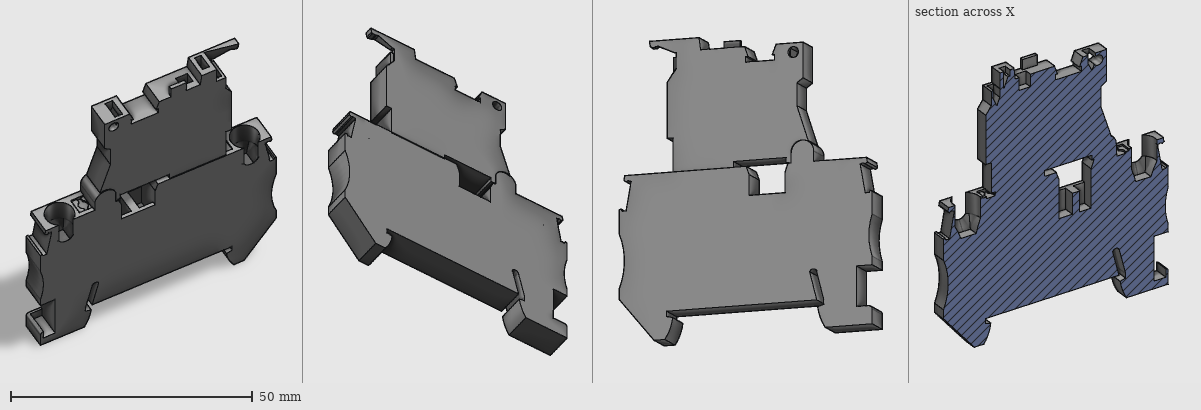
import cadquery as cq


BASE_THICKNESS = 6.15
BASE_LENGTH = 55.9
TOTAL_HEIGHT = 63.38
BASE_TOP = 35.33
PLUG_THICKNESS = 5.75
PLUG_TOP = 60.76

SHOULDER_Z = 27.84
RAIL_FACE_Z = 5.95
RAIL_LIP_Z = 4.86
RAIL_LIP_TIP_Z = 4.5
FRONT_LIP_TIP_Y = 12.06
REAR_LIP_TIP_Y = 44.06
RAIL_FRONT_Y = 10.7
RAIL_REAR_Y = 45.38
FLEX_SLOT_FRONT = (12.3, 12.1)
FLEX_SLOT_REAR = (13.8, 12.0)
FLEX_SLOT_TOP = (13.2, 12.55)
FLEX_SLOT_MOUTH_Y = 12.24
FRONT_CLAW_Y = 10.4
REAR_CLAW_Y = (45.8, 48.2)
REAR_CLAW_TOP_Z = 9.2
CLAW_BULGE_Z = 2.1
FRONT_HOLLOW_Z = (14.33, 23.26)
FRONT_HOLLOW_DEPTH = 0.72
REAR_HOLLOW_Z = (11.4, 23.1)
REAR_HOLLOW_DEPTH = 1.15
HOOK_TOP_Z = 3.95
HOOK_RADIUS = 0.8
FOOT_RECESS_Y = 3.5
FOOT_RECESS_TOP = 12.5
HOOK_POCKET_X = (-2.5, BASE_THICKNESS / 2)
HOOK_POCKET_Y = (0.72, FOOT_RECESS_Y)
HOOK_POCKET_DEPTH = 2.0
NOTCH_FRONT_Y = 19.25
NOTCH_REAR_Y = 27.18
NOTCH_FLOOR_Z = 29.16
NOTCH_BEVEL_Z = 33.54
NOTCH_BEVEL = 0.65
DOME_FRONT_Y = 12.9
DOME_RADIUS = 2.52
DOME_CENTER_Z = 37.5

NOTCH_POCKET_X = (-2.67, 2.2)
NOTCH_WEB_Y = (22.0, 23.9)
NOTCH_POCKET_DEPTH = 5.0

FUNNEL_X = 0.36
FUNNEL_Y = 6.03
FUNNEL_RADIUS = 3.17
FUNNEL_FLOOR_SIDE = 3.72
FUNNEL_FLOOR_Y = 6.25
FUNNEL_MOUTH_DEPTH = 5.0
FUNNEL_TAPER_DEPTH = 3.3
SCREW_RECESS_X = (-1.7, 2.1)
SCREW_RECESS_Y = (9.85, DOME_FRONT_Y)
SCREW_X = 0.22
SCREW_Y = 11.73
SCREW_RADIUS = 1.1
SCREW_SLOT_WIDTH = 0.88
SCREW_STEP = 0.4

REAR_SHOULDER_Y = 44.06
REAR_SHOULDER_Z = 59.66
LEVER_ROOT_Y = 43.37
BLOCK_REAR_Y = 41.86
BLOCK_FRONT_Y = 38.33
BLOCK_FOOT_Y = 37.96
LEVER_TIP_Y = 49.3
LEVER_TIP_WIDTH = 1.8
LEVER_ROOT_WIDTH = 0.4
PLUG_FRONT_Y = 15.34
PLUG_WAIST_Y = 16.7
PLUG_REAR_Y = 45.38
PLUG_REAR_FOOT_Z = 42.56
REAR_BEVEL_Z = (54.37, 57.2)
SHOULDER_BEVEL_Z = 56.25
PLUG_WAIST_Z = (47.4, 52.2)
PLUG_NOSE_Z = 53.2
NECK_FOOT = (14.2, 39.86)
LABEL_FLOOR_Z = 57.44
LABEL_LIP_Z = 58.6
LABEL_SEAT_Y = (21.65, 28.03)
LABEL_LIP_Y = (22.15, 27.5)
LABEL_MOUTH_Y = (21.3, 28.25)
PLUG_GAP_Y = (19.05, 30.7)
PLUG_GAP_TOP = 36.6
FRONT_FOOT_Y = 18.5
FRONT_FOOT_Z = 35.5

TEST_SLOT_X = (-2.1, 2.1)
TEST_SLOT_WALL = 2.0
TEST_SLOT_DEPTH = 3.8
FRONT_SLOT_Y = (18.2, 19.0, 19.95)
REAR_SLOT_Y = (41.95, 42.6, 43.45)
BLOCK_SLOT_X = (-2.1, 1.45)
BLOCK_SLOT_Y = (39.4, 39.9, 40.9)
BLOCK_SLOT_DEPTH = 4.0
BLOCK_SLOT_LEDGE_DEPTH = 1.5
POCKET_X = (-1.1, 1.3)
POCKET_Y = (34.35, 37.1)
POCKET_DEPTH = 3.0
TAB_X = (2.05, PLUG_THICKNESS / 2)
TAB_Y = (31.06, 34.67)
TAB_TOP = 63.2
PEG_HOLE_Y = 17.5
PEG_HOLE_Z = 58.8
PEG_HOLE_RADIUS = 1.15


def box(x_range, y_range, z_range):
    """Box spanning the given X, Y and Z limits."""
    spans = (x_range, y_range, z_range)
    sizes = [high - low for low, high in spans]
    return cq.Workplane("XY").box(*sizes, centered=False).translate(tuple(low for low, high in spans))


def extrude_profile(outline, x_range):
    """Extrude a closed Y-Z outline between two X positions."""
    return outline.close().extrude(x_range[1] - x_range[0]).translate((x_range[0], 0, 0))


def centered_x(thickness):
    return (-thickness / 2, thickness / 2)


def mirror_y(solid):
    """Copy a front feature of the base to its rear end."""
    return solid.mirror("XZ", (0, BASE_LENGTH / 2, 0))


def from_rear(points):
    """The same points at the rear end of the base, in reverse order."""
    return [(BASE_LENGTH - y, z) for y, z in reversed(points)]


def base_body():
    end_notch = [
        (0, 28.15), (0.45, 28.3), (0.65, SHOULDER_Z), (1.53, SHOULDER_Z), (2.65, 34.0),
        (2.0, 34.2), (1.53, 33.95), (1.05, 34.3), (1.25, BASE_TOP),
    ]
    dome_rear_y = DOME_FRONT_Y + 2 * DOME_RADIUS
    dome_top = (DOME_FRONT_Y + DOME_RADIUS, DOME_CENTER_Z + DOME_RADIUS)
    outline = (
        cq.Workplane("YZ")
        .moveTo(0, 0)
        .lineTo(0, HOOK_TOP_Z - HOOK_RADIUS)
        .radiusArc((HOOK_RADIUS, HOOK_TOP_Z), HOOK_RADIUS)
        .lineTo(FOOT_RECESS_Y, HOOK_TOP_Z)
        .lineTo(FOOT_RECESS_Y, FOOT_RECESS_TOP)
        .lineTo(0, FOOT_RECESS_TOP)
        .lineTo(0, FRONT_HOLLOW_Z[0])
        .threePointArc((FRONT_HOLLOW_DEPTH, sum(FRONT_HOLLOW_Z) / 2), (0, FRONT_HOLLOW_Z[1]))
        .polyline(end_notch, includeCurrent=True)
        .lineTo(DOME_FRONT_Y, BASE_TOP)
        .lineTo(DOME_FRONT_Y, DOME_CENTER_Z)
        .threePointArc(dome_top, (dome_rear_y, DOME_CENTER_Z))
        .lineTo(dome_rear_y, BASE_TOP)
        .lineTo(NOTCH_FRONT_Y - NOTCH_BEVEL, BASE_TOP)
        .lineTo(NOTCH_FRONT_Y, NOTCH_BEVEL_Z)
        .lineTo(NOTCH_FRONT_Y, NOTCH_FLOOR_Z)
        .lineTo(NOTCH_REAR_Y, NOTCH_FLOOR_Z)
        .lineTo(NOTCH_REAR_Y, NOTCH_BEVEL_Z)
        .lineTo(NOTCH_REAR_Y + NOTCH_BEVEL, BASE_TOP)
        .polyline(from_rear(end_notch), includeCurrent=True)
        .lineTo(BASE_LENGTH, REAR_HOLLOW_Z[1])
        .threePointArc(
            (BASE_LENGTH - REAR_HOLLOW_DEPTH, sum(REAR_HOLLOW_Z) / 2),
            (BASE_LENGTH, REAR_HOLLOW_Z[0]),
        )
        .lineTo(BASE_LENGTH, REAR_CLAW_TOP_Z)
        .lineTo(REAR_CLAW_Y[1], 0)
        .lineTo(REAR_CLAW_Y[0], 0)
        .threePointArc((44.65, CLAW_BULGE_Z), (REAR_LIP_TIP_Y, RAIL_LIP_TIP_Z))
        .lineTo(RAIL_REAR_Y, RAIL_LIP_Z)
        .lineTo(RAIL_REAR_Y, RAIL_FACE_Z)
        .lineTo(FLEX_SLOT_MOUTH_Y, RAIL_FACE_Z)
        .lineTo(*FLEX_SLOT_REAR)
        .threePointArc(FLEX_SLOT_TOP, FLEX_SLOT_FRONT)
        .lineTo(RAIL_FRONT_Y, RAIL_FACE_Z)
        .lineTo(RAIL_FRONT_Y, RAIL_LIP_Z)
        .lineTo(FRONT_LIP_TIP_Y, RAIL_LIP_TIP_Z)
        .threePointArc((11.45, CLAW_BULGE_Z), (FRONT_CLAW_Y, 0))
    )
    return extrude_profile(outline, centered_x(BASE_THICKNESS))


def hook_pocket():
    """Pocket behind the front hook, open at the +X side."""
    return box(HOOK_POCKET_X, HOOK_POCKET_Y, (HOOK_TOP_Z - HOOK_POCKET_DEPTH, HOOK_TOP_Z))


def notch_pockets():
    """Two pockets in the notch floor with a web left between them."""
    depth_range = (NOTCH_FLOOR_Z - NOTCH_POCKET_DEPTH, NOTCH_FLOOR_Z)
    rear = box(NOTCH_POCKET_X, (NOTCH_WEB_Y[1], NOTCH_REAR_Y), depth_range)
    front = box(NOTCH_POCKET_X, (NOTCH_FRONT_Y, NOTCH_WEB_Y[0]), depth_range)
    return rear.union(front)


def wire_funnel():
    """Straight round mouth, breaking out of the +X face, that tapers to a square floor."""
    taper_top = BASE_TOP - FUNNEL_MOUTH_DEPTH
    taper = (
        cq.Workplane("XY", origin=(FUNNEL_X, FUNNEL_Y, taper_top))
        .circle(FUNNEL_RADIUS)
        .workplane(offset=-FUNNEL_TAPER_DEPTH)
        .center(-FUNNEL_X, FUNNEL_FLOOR_Y - FUNNEL_Y)
        .rect(FUNNEL_FLOOR_SIDE, FUNNEL_FLOOR_SIDE)
        .loft(ruled=True)
    )
    mouth = (
        cq.Workplane("XY", origin=(FUNNEL_X, FUNNEL_Y, taper_top))
        .circle(FUNNEL_RADIUS)
        .extrude(FUNNEL_MOUTH_DEPTH)
    )
    return mouth.union(taper)


def screw_recess():
    """Shallow recess with a deeper round screw head and a slot across it."""
    recess_floor = BASE_TOP - SCREW_STEP
    recess = box(SCREW_RECESS_X, SCREW_RECESS_Y, (recess_floor, BASE_TOP))
    deep_range = (recess_floor - SCREW_STEP, recess_floor)
    slot_y = (SCREW_Y - SCREW_SLOT_WIDTH / 2, SCREW_Y + SCREW_SLOT_WIDTH / 2)
    slot = box(SCREW_RECESS_X, slot_y, deep_range)
    head = (
        cq.Workplane("XY", origin=(SCREW_X, SCREW_Y, deep_range[0]))
        .circle(SCREW_RADIUS)
        .extrude(SCREW_STEP)
    )
    return recess.union(slot).union(head)


def base():
    body = base_body().cut(hook_pocket()).cut(notch_pockets())
    for cutter in (wire_funnel(), screw_recess()):
        body = body.cut(cutter).cut(mirror_y(cutter))
    return body


def plug_body():
    dome_center_y = DOME_FRONT_Y + DOME_RADIUS
    outline = cq.Workplane("YZ").polyline([
        (REAR_SHOULDER_Y, BASE_TOP), (REAR_SHOULDER_Y, PLUG_REAR_FOOT_Z),
        (PLUG_REAR_Y, PLUG_REAR_FOOT_Z), (PLUG_REAR_Y, REAR_BEVEL_Z[0]),
        (REAR_SHOULDER_Y, SHOULDER_BEVEL_Z), (REAR_SHOULDER_Y, REAR_SHOULDER_Z),
        (BLOCK_REAR_Y, REAR_SHOULDER_Z),
        (BLOCK_REAR_Y, TOTAL_HEIGHT), (BLOCK_FRONT_Y, TOTAL_HEIGHT), (BLOCK_FOOT_Y, PLUG_TOP),
        (LABEL_MOUTH_Y[1], PLUG_TOP), (LABEL_LIP_Y[1], LABEL_LIP_Z),
        (LABEL_SEAT_Y[1], LABEL_LIP_Z), (LABEL_SEAT_Y[1], LABEL_FLOOR_Z),
        (LABEL_SEAT_Y[0], LABEL_FLOOR_Z), (LABEL_SEAT_Y[0], LABEL_LIP_Z),
        (LABEL_LIP_Y[0], LABEL_LIP_Z), (LABEL_MOUTH_Y[0], PLUG_TOP),
        (PLUG_FRONT_Y, PLUG_TOP), (PLUG_FRONT_Y, PLUG_NOSE_Z),
        (PLUG_WAIST_Y, PLUG_WAIST_Z[1]), (PLUG_WAIST_Y, PLUG_WAIST_Z[0]),
        NECK_FOOT, (dome_center_y, DOME_CENTER_Z), (dome_center_y, BASE_TOP),
        (FRONT_FOOT_Y, BASE_TOP), (FRONT_FOOT_Y, FRONT_FOOT_Z), (PLUG_GAP_Y[0], FRONT_FOOT_Z),
        (PLUG_GAP_Y[0], PLUG_GAP_TOP), (PLUG_GAP_Y[1], PLUG_GAP_TOP), (PLUG_GAP_Y[1], BASE_TOP),
    ])
    return extrude_profile(outline, centered_x(PLUG_THICKNESS))


def lever_side_clearance():
    """Sets the rear face back below the lever, on the lever side only."""
    side_x = -PLUG_THICKNESS / 2
    outline = cq.Workplane("YZ").polyline([
        (LEVER_ROOT_Y, TOTAL_HEIGHT), (LEVER_ROOT_Y, REAR_BEVEL_Z[1]),
        (REAR_SHOULDER_Y, SHOULDER_BEVEL_Z), (PLUG_REAR_Y, TOTAL_HEIGHT),
    ])
    return extrude_profile(outline, (side_x, side_x + LEVER_ROOT_WIDTH))


def lever():
    """Release lever along the -X side, narrowing from its tip to the raised block."""
    side_x = -PLUG_THICKNESS / 2
    profile = cq.Workplane("YZ").polyline([
        (BLOCK_REAR_Y, REAR_SHOULDER_Z), (BLOCK_REAR_Y, TOTAL_HEIGHT), (LEVER_TIP_Y, TOTAL_HEIGHT),
        (49.1, 62.3), (48.9, 62.0), (48.1, 62.0), (47.8, 62.2), (47.3, 62.2), (43.9, 60.65),
        (LEVER_ROOT_Y, 60.6), (LEVER_ROOT_Y, REAR_SHOULDER_Z),
    ])
    blade = extrude_profile(profile, (side_x, side_x + LEVER_TIP_WIDTH))
    taper = (
        cq.Workplane("XY")
        .polyline([
            (side_x, BLOCK_REAR_Y), (side_x + LEVER_ROOT_WIDTH, BLOCK_REAR_Y),
            (side_x + LEVER_TIP_WIDTH, LEVER_TIP_Y), (side_x, LEVER_TIP_Y),
        ])
        .close()
        .extrude(TOTAL_HEIGHT)
    )
    return blade.intersect(taper)


def test_slot(y_stations, top_z):
    """Slot with straight walls over a V-shaped bottom; Y of its front, deepest line and rear."""
    front, deepest, rear = y_stations
    wall_z = top_z - TEST_SLOT_WALL
    outline = cq.Workplane("YZ").polyline([
        (front, top_z), (front, wall_z), (deepest, top_z - TEST_SLOT_DEPTH), (rear, wall_z), (rear, top_z),
    ])
    return extrude_profile(outline, TEST_SLOT_X)


def block_slot():
    """Slot in the raised block whose floor ramps down from a front ledge to the rear."""
    front, ledge, rear = BLOCK_SLOT_Y
    ledge_z = TOTAL_HEIGHT - BLOCK_SLOT_LEDGE_DEPTH
    outline = cq.Workplane("YZ").polyline([
        (front, TOTAL_HEIGHT), (front, ledge_z), (ledge, ledge_z),
        (rear, TOTAL_HEIGHT - BLOCK_SLOT_DEPTH), (rear, TOTAL_HEIGHT),
    ])
    return extrude_profile(outline, BLOCK_SLOT_X)


def peg_hole():
    outline = cq.Workplane("YZ").center(PEG_HOLE_Y, PEG_HOLE_Z).circle(PEG_HOLE_RADIUS)
    return outline.extrude(PLUG_THICKNESS / 2, both=True)


def plug():
    body = plug_body().cut(lever_side_clearance())
    body = body.cut(test_slot(FRONT_SLOT_Y, PLUG_TOP))
    body = body.cut(test_slot(REAR_SLOT_Y, REAR_SHOULDER_Z))
    body = body.cut(block_slot())
    body = body.cut(box(POCKET_X, POCKET_Y, (PLUG_TOP - POCKET_DEPTH, PLUG_TOP)))
    body = body.cut(peg_hole())
    body = body.union(box(TAB_X, TAB_Y, (PLUG_TOP, TAB_TOP)))
    return body.union(lever())


result = base().union(plug())